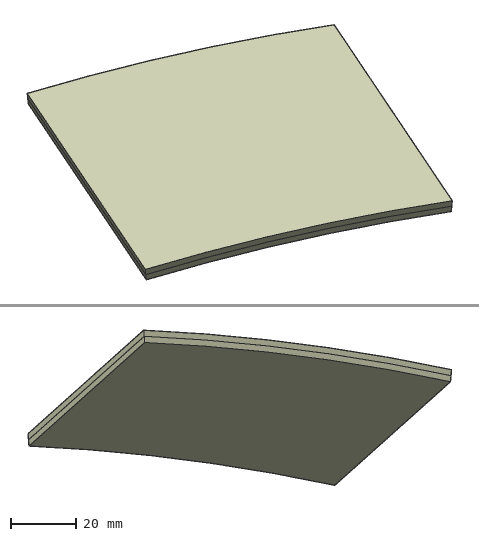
import cadquery as cq
import math

plate_length = 100.0
inner_chord = 100.0
inner_radius = 600.0
layer_thickness = 2.0

bend_axis_z = -inner_radius
half_angle = math.asin(inner_chord / 2 / inner_radius)


def arc_point(radius, angle):
    """Point (Y, Z) at a radius from the bend axis, with the angle measured from vertical."""
    return (radius * math.sin(angle), bend_axis_z + radius * math.cos(angle))


def curved_layer(bottom_radius):
    """One curved sheet with radial side faces, centred on X = 0."""
    top_radius = bottom_radius + layer_thickness
    return (
        cq.Workplane("YZ")
        .moveTo(*arc_point(bottom_radius, -half_angle))
        .threePointArc(arc_point(bottom_radius, 0), arc_point(bottom_radius, half_angle))
        .lineTo(*arc_point(top_radius, half_angle))
        .threePointArc(arc_point(top_radius, 0), arc_point(top_radius, -half_angle))
        .close()
        .extrude(plate_length / 2, both=True)
    )


layer_count = 2
layers = [curved_layer(inner_radius + i * layer_thickness) for i in range(layer_count)]

result = cq.Compound.makeCompound([layer.val() for layer in layers])